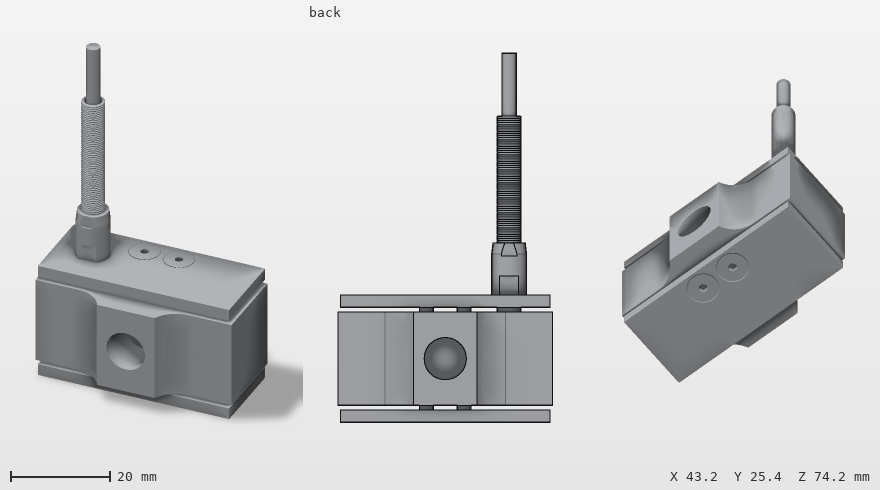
import cadquery as cq
import math


PLATE_THICKNESS = 2.5
PLATE_GAP = 0.9
BLOCK_HEIGHT = 18.8
BLOCK_BOTTOM = PLATE_THICKNESS + PLATE_GAP
BLOCK_TOP = BLOCK_BOTTOM + BLOCK_HEIGHT
TOP_PLATE_BOTTOM = BLOCK_TOP + PLATE_GAP
TOP_PLATE_TOP = TOP_PLATE_BOTTOM + PLATE_THICKNESS
BLOCK_MIDDLE = (BLOCK_BOTTOM + BLOCK_TOP) / 2
CABLE_TOP = 74.25

BLOCK_LENGTH = 43.2
BLOCK_WIDTH = 17.75
PAD_SPAN = 25.4
PAD_LENGTH = 12.7
PAD_FLARE_RADIUS = 6.3
MOUNTING_HOLE_DIAMETER = 8.5
MOUNTING_HOLE_DEPTH = 8.9

PLATE_LENGTH = 42.2
PLATE_WIDTH = BLOCK_WIDTH

SCREW_SPACING = 7.6
SCREW_Y = 5.05
SCREW_CENTRES = [(-SCREW_SPACING / 2, SCREW_Y), (SCREW_SPACING / 2, SCREW_Y)]
SHANK_DIAMETER = 2.8
SHANK_HOLE_DIAMETER = 3.3
HEAD_DIAMETER = 6.3
COUNTERSINK_DIAMETER = 6.6
COUNTERSINK_ANGLE = 82.0
SOCKET_ACROSS_FLATS = 1.6
SOCKET_DEPTH = 1.1
SOCKET_TURN = 30

FITTING_X = -12.85
STEM_DIAMETER = 4.8
FITTING_DIAMETER = 7.05
FITTING_TOP_DIAMETER = 6.5
TAPER_BOTTOM = 33.85
FITTING_TOP = 36.1
WRENCH_FLATS = 5.95
WRENCH_FLATS_TOP = 29.4
TAPER_FLATS = 6.3
TAPER_FLATS_BOTTOM = 33.5

SPRING_DIAMETER = STEM_DIAMETER
SPRING_TOP = 61.55
COIL_COUNT = 59
SPRING_BORE_DIAMETER = 3.6
CABLE_DIAMETER = 2.9


def cone_depth(wide_diameter, narrow_diameter):
    """Depth over which a countersink narrows from one diameter to the other."""
    return (wide_diameter - narrow_diameter) / 2 / math.tan(math.radians(COUNTERSINK_ANGLE / 2))


def countersunk_shape(wide_diameter, narrow_diameter, length):
    """Solid with its wide face at Z = 0, tapering downward to a shank that ends at Z = -length."""
    wide = wide_diameter / 2
    narrow = narrow_diameter / 2
    taper = cone_depth(wide_diameter, narrow_diameter)
    corners = [(0, 0), (wide, 0), (narrow, -taper), (narrow, -length), (0, -length)]
    return cq.Workplane("XZ").polyline(corners).close().revolve(360, (0, 0), (0, 1))


def flip_to_underside(shape):
    """Mirrors a shape about the middle height of the block."""
    return shape.mirror("XY", (0, 0, BLOCK_MIDDLE))


def make_block():
    """Block with a flared pad and a blind mounting hole on its -Y and +Y sides."""
    pad_depth = (PAD_SPAN - BLOCK_WIDTH) / 2
    flare = math.sqrt(PAD_FLARE_RADIUS**2 - (PAD_FLARE_RADIUS - pad_depth) ** 2)
    tip_x = PAD_LENGTH / 2
    foot_x = tip_x + flare
    foot_y = BLOCK_WIDTH / 2
    tip_y = PAD_SPAN / 2

    block = cq.Workplane("XY").box(BLOCK_LENGTH, BLOCK_WIDTH, BLOCK_HEIGHT).translate((0, 0, BLOCK_MIDDLE))
    for side in (-1, 1):
        pad = (
            cq.Workplane("XY", origin=(0, 0, BLOCK_BOTTOM))
            .moveTo(-foot_x, side * foot_y)
            .radiusArc((-tip_x, side * tip_y), -side * PAD_FLARE_RADIUS)
            .lineTo(tip_x, side * tip_y)
            .radiusArc((foot_x, side * foot_y), -side * PAD_FLARE_RADIUS)
            .close()
            .extrude(BLOCK_HEIGHT)
        )
        hole = (
            cq.Workplane("XZ", origin=(0, side * tip_y, BLOCK_MIDDLE))
            .circle(MOUNTING_HOLE_DIAMETER / 2)
            .extrude(side * MOUNTING_HOLE_DEPTH)
        )
        block = block.union(pad).cut(hole)
    return block


def make_screw(x, y):
    """Screw above the block: its head lies flush with the plate and its shank ends on the block."""
    screw = countersunk_shape(HEAD_DIAMETER, SHANK_DIAMETER, TOP_PLATE_TOP - BLOCK_TOP)
    socket = cq.Workplane("XY").polygon(6, SOCKET_ACROSS_FLATS, circumscribed=True).extrude(-SOCKET_DEPTH)
    socket = socket.rotate((0, 0, 0), (0, 0, 1), SOCKET_TURN)
    return screw.cut(socket).translate((x, y, TOP_PLATE_TOP))


def make_flats(across, bottom, top):
    """Pair of cutters that leave flats facing -Y and +Y on the fitting."""
    height = top - bottom
    centre = (bottom + top) / 2
    offset = (across + FITTING_DIAMETER) / 2
    cutter = cq.Workplane("XY").pushPoints([(0, -offset), (0, offset)])
    return cutter.box(FITTING_DIAMETER, FITTING_DIAMETER, height).translate((0, 0, centre))


def make_fitting():
    """Stem, round body and tapered top of the cable fitting, with both pairs of flats."""
    body_radius = FITTING_DIAMETER / 2
    fitting = (
        cq.Workplane("XZ")
        .polyline([
            (0, BLOCK_TOP),
            (STEM_DIAMETER / 2, BLOCK_TOP),
            (STEM_DIAMETER / 2, TOP_PLATE_TOP),
            (body_radius, TOP_PLATE_TOP),
            (body_radius, TAPER_BOTTOM),
            (FITTING_TOP_DIAMETER / 2, FITTING_TOP),
            (0, FITTING_TOP),
        ])
        .close()
        .revolve(360, (0, 0), (0, 1))
    )
    fitting = fitting.cut(make_flats(WRENCH_FLATS, TOP_PLATE_TOP, WRENCH_FLATS_TOP))
    return fitting.cut(make_flats(TAPER_FLATS, TAPER_FLATS_BOTTOM, FITTING_TOP))


def make_spring():
    """Hollow, closely wound spring as a stack of half-round rings around a plain bore."""
    pitch = (SPRING_TOP - FITTING_TOP) / COIL_COUNT
    crest = SPRING_DIAMETER / 2
    root = crest - pitch / 2
    bore = SPRING_BORE_DIAMETER / 2
    outline = cq.Workplane("XZ").moveTo(bore, FITTING_TOP).lineTo(root, FITTING_TOP)
    for coil in range(COIL_COUNT):
        bottom = FITTING_TOP + coil * pitch
        outline = outline.threePointArc((crest, bottom + pitch / 2), (root, bottom + pitch))
    return outline.lineTo(bore, SPRING_TOP).close().revolve(360, (0, 0), (0, 1))


def make_cable():
    """Cable that runs up through the spring from the top of the fitting."""
    cable = cq.Workplane("XY", origin=(0, 0, FITTING_TOP)).circle(CABLE_DIAMETER / 2)
    return cable.extrude(CABLE_TOP - FITTING_TOP)


def make_load_cell():
    """The block in one piece with its screws, cable fitting, spring and cable."""
    cell = make_block()
    for x, y in SCREW_CENTRES:
        screw = make_screw(x, y)
        cell = cell.union(screw).union(flip_to_underside(screw))
    fitting = make_fitting().union(make_spring()).union(make_cable())
    return cell.union(fitting.translate((FITTING_X, 0, 0)))


def make_cover_plate():
    """Top cover plate with its countersunk screw holes."""
    middle = (TOP_PLATE_BOTTOM + TOP_PLATE_TOP) / 2
    plate = cq.Workplane("XY").box(PLATE_LENGTH, PLATE_WIDTH, PLATE_THICKNESS).translate((0, 0, middle))
    screw_hole = countersunk_shape(COUNTERSINK_DIAMETER, SHANK_HOLE_DIAMETER, PLATE_THICKNESS)
    for x, y in SCREW_CENTRES:
        plate = plate.cut(screw_hole.translate((x, y, TOP_PLATE_TOP)))
    return plate


def drill_stem_hole(plate):
    """Hole through the top plate for the stem of the cable fitting."""
    hole = cq.Workplane("XY", origin=(FITTING_X, 0, TOP_PLATE_BOTTOM)).circle(STEM_DIAMETER / 2)
    return plate.cut(hole.extrude(PLATE_THICKNESS))


load_cell = make_load_cell()
cover_plate = make_cover_plate()
top_plate = drill_stem_hole(cover_plate)
bottom_plate = flip_to_underside(cover_plate)

result = cq.Compound.makeCompound([load_cell.val(), top_plate.val(), bottom_plate.val()])